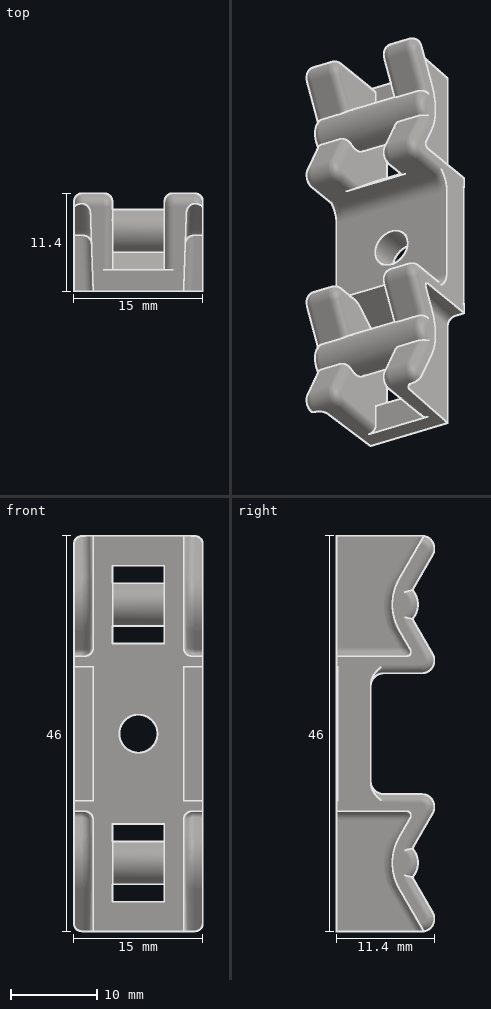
import cadquery as cq
import math

WIDTH = 15.0
LENGTH = 46.0
PLATE_THICKNESS = 4.0
FLOOR_THICKNESS = 2.5
HALF_WIDTH = WIDTH / 2
HALF_LENGTH = LENGTH / 2

FLANGE_LENGTH = 16.0
FLANGE_START = HALF_LENGTH - FLANGE_LENGTH
CLIP_CENTER = HALF_LENGTH - FLANGE_LENGTH / 2
CHANNEL_HALF_WIDTH = 3.0
FLANGE_THICKNESS = HALF_WIDTH - CHANNEL_HALF_WIDTH
NOTCH_AXIS_HEIGHT = 12.5
NOTCH_RADIUS = 4.0
NOTCH_HALF_ANGLE = math.radians(30)
TIP_RADIUS = 1.5
EDGE_RADIUS = 1.0
ROOT_RADIUS = 1.5

PIN_RADIUS = 2.5
PIN_HEIGHT = 7.0

WINDOW_LENGTH = 9.0
WINDOW_START = CLIP_CENTER - WINDOW_LENGTH / 2
RAMP_ANGLE = math.radians(35)

RIM_WIDTH = 2.0
RIM_RADIUS = NOTCH_RADIUS + RIM_WIDTH
LEDGE_END = FLANGE_START + RIM_WIDTH
WEB_HALF_WIDTH = 5.25
DRAFT_ANGLE = math.radians(2)
RECESS_CORNER_RADIUS = 0.5
RECESS_FILLET = 1.0

HOLE_DIAMETER = 4.4
PAD_LENGTH = 15.6
PAD_DEPTH = 0.15

CLEARANCE = 5.0


def both_ends(shape):
    return shape.union(shape.mirror("XY"))


def both_sides(shape):
    return shape.union(shape.mirror("YZ"))


def notch_tangent_point(radius, side):
    """Point (Y, Z) where a notch arc of this radius runs into its straight side."""
    height = NOTCH_AXIS_HEIGHT - radius * math.cos(NOTCH_HALF_ANGLE)
    return height, CLIP_CENTER + side * radius * math.sin(NOTCH_HALF_ANGLE)


def notch_side_height(radius, distance):
    """Height of the straight notch side at a distance along Z from the notch axis."""
    tangent_height, tangent_z = notch_tangent_point(radius, 1)
    return tangent_height + (distance - (tangent_z - CLIP_CENTER)) * math.tan(NOTCH_HALF_ANGLE)


def round_free_edges(blank):
    """Round both outlines of a flange, leaving the edges along its root at Y = 0 sharp."""
    outlines = blank.faces("<X or >X").edges().vals()
    root = blank.faces("<Y").edges().vals()
    free_edges = [edge for edge in outlines if not any(edge.isSame(other) for other in root)]
    return blank.newObject(free_edges).fillet(EDGE_RADIUS)


def flange():
    """Flange on the +X side of the +Z end, with the rounded pin boss in its notch."""
    tip_height = notch_side_height(NOTCH_RADIUS, FLANGE_LENGTH / 2)
    blank = (
        cq.Workplane("YZ", origin=(CHANNEL_HALF_WIDTH, 0, 0))
        .moveTo(0, FLANGE_START)
        .lineTo(tip_height, FLANGE_START)
        .lineTo(*notch_tangent_point(NOTCH_RADIUS, -1))
        .threePointArc(
            (NOTCH_AXIS_HEIGHT - NOTCH_RADIUS, CLIP_CENTER),
            notch_tangent_point(NOTCH_RADIUS, 1),
        )
        .lineTo(tip_height, HALF_LENGTH)
        .lineTo(0, HALF_LENGTH)
        .close()
        .extrude(FLANGE_THICKNESS)
    )
    blank = blank.edges("|X").edges(">Y").fillet(TIP_RADIUS)
    boss = (
        cq.Workplane("YZ", origin=(CHANNEL_HALF_WIDTH, PIN_HEIGHT, CLIP_CENTER))
        .circle(PIN_RADIUS)
        .extrude(FLANGE_THICKNESS)
        .faces("<X or >X")
        .edges()
        .fillet(EDGE_RADIUS)
    )
    return round_free_edges(blank).union(boss)


def core():
    """Floor between the flanges of the +Z end, with the ramp at the inner end of its channel.

    It overlaps the flanges by the width of their rounded inner edges.
    """
    ramp_top = FLOOR_THICKNESS + (WINDOW_START - FLANGE_START) / math.tan(RAMP_ANGLE)
    half_width = CHANNEL_HALF_WIDTH + EDGE_RADIUS
    return (
        cq.Workplane("YZ", origin=(-half_width, 0, 0))
        .moveTo(0, FLANGE_START)
        .lineTo(ramp_top, FLANGE_START)
        .lineTo(FLOOR_THICKNESS, WINDOW_START)
        .lineTo(FLOOR_THICKNESS, HALF_LENGTH)
        .lineTo(0, HALF_LENGTH)
        .close()
        .extrude(2 * half_width)
    )


def pin():
    """Pin across the channel of the +Z end, sunk into both flanges."""
    half_length = CHANNEL_HALF_WIDTH + EDGE_RADIUS
    return (
        cq.Workplane("YZ", origin=(-half_length, PIN_HEIGHT, CLIP_CENTER))
        .circle(PIN_RADIUS)
        .extrude(2 * half_length)
    )


def root_fillet():
    """Hollow fillet between the plate and the inner end of the +Z flanges.

    It runs straight across the part, then round the rounded edge of each flange
    until the side of the part cuts it off.
    """
    edge_axis_x = HALF_WIDTH - EDGE_RADIUS
    edge_axis_z = FLANGE_START + EDGE_RADIUS
    arc_middle = ROOT_RADIUS * (1 - math.sqrt(0.5))
    top = PLATE_THICKNESS + ROOT_RADIUS

    def section(x):
        """Fillet section at this X, drawn outward from the axis of the rounded edge."""
        plane = cq.Plane(origin=(x, 0, edge_axis_z), xDir=(0, 0, -1), normal=(1, 0, 0))
        return (
            cq.Workplane(plane)
            .moveTo(0, PLATE_THICKNESS)
            .lineTo(EDGE_RADIUS + ROOT_RADIUS, PLATE_THICKNESS)
            .threePointArc((EDGE_RADIUS + arc_middle, PLATE_THICKNESS + arc_middle), (EDGE_RADIUS, top))
            .lineTo(0, top)
            .close()
        )

    straight = section(-edge_axis_x).extrude(2 * edge_axis_x)
    corner = section(edge_axis_x).revolve(90, (0, 0, 0), (0, -1, 0))
    side_limit = cq.Workplane("XY").box(WIDTH, 2 * top, LENGTH)
    return straight.union(both_sides(corner.intersect(side_limit)))


def plate():
    """Middle plate, full width up to the ends of the flange ledges."""
    return cq.Workplane("XY").box(WIDTH, PLATE_THICKNESS, 2 * LEDGE_END, centered=(True, False, True))


def recess():
    """Tool for the drafted recess on the outer side of the +X flange of the +Z end."""
    corner_height = notch_side_height(RIM_RADIUS, CLIP_CENTER - LEDGE_END)
    end = HALF_LENGTH + CLEARANCE
    blank = (
        cq.Workplane("YZ", origin=(WEB_HALF_WIDTH, 0, 0))
        .moveTo(-CLEARANCE, LEDGE_END)
        .lineTo(corner_height, LEDGE_END)
        .lineTo(*notch_tangent_point(RIM_RADIUS, -1))
        .threePointArc(
            (NOTCH_AXIS_HEIGHT - RIM_RADIUS, CLIP_CENTER),
            notch_tangent_point(RIM_RADIUS, 1),
        )
        .lineTo(notch_side_height(RIM_RADIUS, end - CLIP_CENTER), end)
        .lineTo(-CLEARANCE, end)
        .close()
        .extrude(CLEARANCE)
    )
    slope = math.tan(DRAFT_ANGLE)
    web_top = NOTCH_AXIS_HEIGHT + CLEARANCE
    web = (
        cq.Workplane("XY")
        .moveTo(0, -CLEARANCE)
        .lineTo(WEB_HALF_WIDTH - CLEARANCE * slope, -CLEARANCE)
        .lineTo(WEB_HALF_WIDTH + web_top * slope, web_top)
        .lineTo(0, web_top)
        .close()
        .extrude(end + CLEARANCE)
    )
    tool = blank.cut(web)
    ledge_corner = cq.selectors.NearestToPointSelector((HALF_WIDTH, corner_height, LEDGE_END))
    tool = tool.edges("|X").edges(ledge_corner).fillet(RECESS_CORNER_RADIUS)
    return tool.faces("<X").edges().fillet(RECESS_FILLET)


def window():
    """Tool for the window through the floor under the +Z pin."""
    return (
        cq.Workplane("XY")
        .box(2 * CHANNEL_HALF_WIDTH, 2 * FLOOR_THICKNESS, WINDOW_LENGTH)
        .translate((0, 0, CLIP_CENTER))
    )


def pad():
    """Tool for the shallow sunken pad along the +X side of the -Y face."""
    inner_x = WEB_HALF_WIDTH
    outer_x = HALF_WIDTH
    return (
        cq.Workplane("XY")
        .box(outer_x - inner_x, 2 * PAD_DEPTH, PAD_LENGTH)
        .translate(((inner_x + outer_x) / 2, 0, 0))
    )


def center_hole():
    """Tool for the hole through the middle of the plate."""
    return cq.Workplane("XZ").circle(HOLE_DIAMETER / 2).extrude(-PLATE_THICKNESS)


clip_end = core().union(both_sides(flange())).union(root_fillet()).union(pin())
body = plate().union(both_ends(clip_end))
body = body.cut(both_ends(both_sides(recess())))
body = body.cut(both_ends(window()))
body = body.cut(both_sides(pad()))
body = body.cut(center_hole())
result = body.clean()